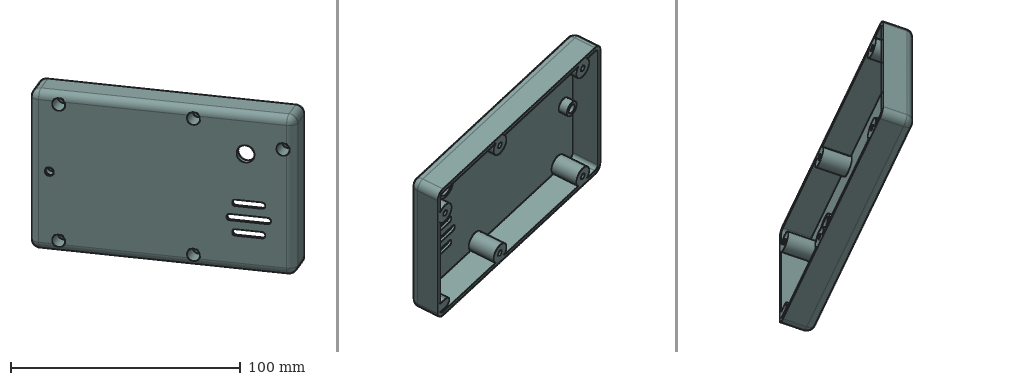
import cadquery as cq

width = 120.0
depth = 15.0
height = 75.0
edge_radius = 4.0
side_wall = 2.0
front_wall = 1.5

front_y = -depth / 2
back_y = depth / 2
inner_x = width / 2 - side_wall
overcut = 1.2

screw_columns = (-46.9, 14.0)
screw_row = 32.0
side_screw = (54.5, 22.0)
screw_hole_diameter = 2.8
screw_head_diameter = 5.9
screw_head_depth = 9.0
post_wall = 1.8

large_opening = (37.5, 18.0)
large_opening_diameter = 8.0
large_collar_depth = 3.0
small_opening = (-51.1, 0.0)
small_opening_diameter = 4.0
small_collar_bore = 4.3
small_collar_depth = 6.0
collar_wall = 1.5

grille_center = (39.0, -12.5)
slot_pitch = 7.0
slot_height = 3.0
outer_slot_length = 15.0
middle_slot_length = 20.0

rib_nose_center = (54.0, -31.7)
rib_thickness = 5.0

screw_places = [(x, z) for x in screw_columns for z in (screw_row, -screw_row)]
screw_places.append(side_screw)


def plane_at(y):
    """Workplane across Y whose local coordinates are (X, Z) and which extrudes towards -Y."""
    return cq.Workplane("XZ", origin=(0, y, 0))


def cylinders(places, diameter, start_y, end_y):
    """Round bars along Y from start_y to end_y, centred on the (X, Z) places."""
    return plane_at(end_y).pushPoints(places).circle(diameter / 2).extrude(end_y - start_y)


def rounded_box():
    """Outer block with every edge rounded except those of the open back."""
    box = cq.Workplane("XY").box(width, depth, height)
    return box.edges("|Y").fillet(edge_radius).faces("<Y").edges().fillet(edge_radius)


def inner_cavity():
    """Space behind the front wall, open at the back, with corners that follow the outside."""
    length = depth - front_wall + overcut
    block = plane_at(back_y + overcut).rect(2 * inner_x, height - 2 * side_wall).extrude(length)
    return block.edges("|Y").fillet(edge_radius - side_wall)


def corner_rib():
    """Bar from the front wall to the back, rounded at its free end."""
    nose_x, z = rib_nose_center
    nose = cylinders([rib_nose_center], rib_thickness, front_y + front_wall / 2, back_y)
    web_length = inner_x + side_wall / 2 - nose_x
    web = plane_at(back_y).center(nose_x + web_length / 2, z).rect(web_length, rib_thickness)
    return nose.union(web.extrude(depth - front_wall / 2))


def grille():
    """Cutter for the three slots through the front wall."""
    x, middle_z = grille_center
    outer_places = [(x, middle_z + slot_pitch), (x, middle_z - slot_pitch)]
    start = plane_at(front_y + front_wall + overcut)
    length = front_wall + 2 * overcut
    outer_slots = start.pushPoints(outer_places).slot2D(outer_slot_length, slot_height).extrude(length)
    middle_slot = start.center(x, middle_z).slot2D(middle_slot_length, slot_height).extrude(length)
    return outer_slots.union(middle_slot)


outer_body = rounded_box()
post_diameter = screw_head_diameter + 2 * post_wall
posts = cylinders(screw_places, post_diameter, front_y, back_y)
large_collar_diameter = large_opening_diameter + 2 * collar_wall
small_collar_diameter = small_collar_bore + 2 * collar_wall
result = (
    outer_body.cut(inner_cavity())
    .union(posts.intersect(outer_body))
    .union(cylinders([large_opening], large_collar_diameter, front_y, front_y + large_collar_depth))
    .union(cylinders([small_opening], small_collar_diameter, front_y, front_y + small_collar_depth))
    .union(corner_rib().intersect(outer_body))
)

before_front = front_y - overcut
small_bore_start = front_y + front_wall
small_bore_end = front_y + small_collar_depth + overcut
large_bore_end = front_y + large_collar_depth + overcut
result = (
    result.cut(cylinders(screw_places, screw_hole_diameter, before_front, back_y + overcut))
    .cut(cylinders(screw_places, screw_head_diameter, before_front, front_y + screw_head_depth))
    .cut(cylinders([large_opening], large_opening_diameter, before_front, large_bore_end))
    .cut(cylinders([small_opening], small_opening_diameter, before_front, small_bore_end))
    .cut(cylinders([small_opening], small_collar_bore, small_bore_start, small_bore_end))
    .cut(grille())
)